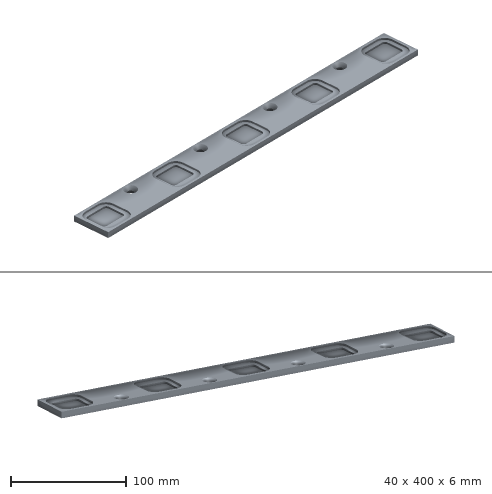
import cadquery as cq

length = 400.0
width = 40.0
thickness = 6.0

pocket_count = 5
hole_count = pocket_count - 1
pitch = 90.0
row_shift = -0.5

outer_size = 35.0
outer_radius = 9.5
outer_depth = 2.0
outer_x = 0.5

inner_width = 23.0
inner_length = 27.0
inner_radius = 3.0
inner_depth = 2.0
inner_x = -1.4

hole_diameter = 6.5
countersink_diameter = 13.0
countersink_angle = 90.0
hole_edge_distance = 7.5
hole_x = hole_edge_distance - width / 2

outer_floor = thickness - outer_depth
inner_floor = outer_floor - inner_depth


def row_centres(count, x):
    """Evenly spaced points along Y at the given X."""
    first_y = row_shift - (count - 1) / 2 * pitch
    return [(x, first_y + i * pitch) for i in range(count)]


def pocket_row(x, size_x, size_y, radius, floor_z):
    """Rounded rectangular cutters reaching from floor_z to the top face."""
    return (
        cq.Workplane("XY", origin=(0, 0, floor_z))
        .pushPoints(row_centres(pocket_count, x))
        .rect(size_x, size_y)
        .extrude(thickness - floor_z)
        .edges("|Z")
        .fillet(radius)
    )


strip = cq.Workplane("XY").box(width, length, thickness, centered=(True, True, False))
strip = strip.cut(pocket_row(outer_x, outer_size, outer_size, outer_radius, outer_floor))
strip = strip.cut(pocket_row(inner_x, inner_width, inner_length, inner_radius, inner_floor))

result = (
    strip.faces(">Z")
    .workplane(origin=(0, 0, thickness))
    .pushPoints(row_centres(hole_count, hole_x))
    .cskHole(hole_diameter, countersink_diameter, countersink_angle)
)